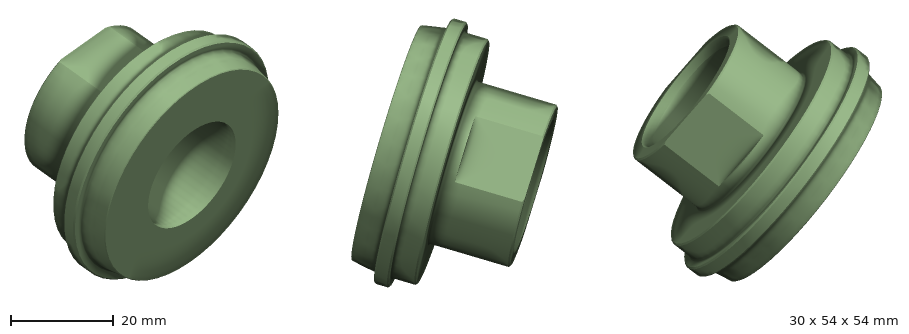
import cadquery as cq
import math

neck_start = 0.0
body_start = 16.5
flange_start = 21.5
flange_width = 3.0
flange_end = flange_start + flange_width
overall_length = 30.0

bore_diameter = 24.12
neck_diameter = 33.0
body_diameter = 50.0
flange_diameter = 54.0
taper_end_diameter = 47.9
taper_angle = 10.0

flat_spacing = 30.0
flat_length = 14.0

bore_chamfer = 1.5
edge_chamfer = 0.3
taper_end_chamfer = 0.15
root_round = 0.4

tolerance = 0.01

neck_radius = neck_diameter / 2
body_radius = body_diameter / 2
flange_radius = flange_diameter / 2
taper_end_radius = taper_end_diameter / 2
taper_drop = (overall_length - flange_end) * math.tan(math.radians(taper_angle))
taper_start_radius = taper_end_radius + taper_drop


def slab_selector(x, reach):
    """Select edges contained in a thin slab at station x, up to reach from the axis."""
    return cq.selectors.BoxSelector(
        (x - tolerance, -reach, -reach),
        (x + tolerance, reach, reach),
        boundingbox=True,
    )


def circle_edges_at(x, radius):
    """Select the circular edges of the given radius that lie at station x."""
    return slab_selector(x, radius + tolerance) - slab_selector(x, radius - tolerance)


def revolve_about_x(profile):
    """Turn a closed half profile through a full revolution about the X axis."""
    return profile.revolve(360, (0, 0, 0), (1, 0, 0))


def make_stepped_body():
    """Neck, body, flange and tapered end as one solid of revolution."""
    profile = (
        cq.Workplane("XY")
        .moveTo(neck_start, 0)
        .lineTo(neck_start, neck_radius)
        .lineTo(body_start, neck_radius)
        .lineTo(body_start, body_radius)
        .lineTo(flange_start, body_radius)
        .lineTo(flange_start, flange_radius)
        .lineTo(flange_end, flange_radius)
        .lineTo(flange_end, taper_start_radius)
        .lineTo(overall_length, taper_end_radius)
        .lineTo(overall_length, 0)
        .close()
    )
    return revolve_about_x(profile)


def break_outer_edges(part):
    """Chamfer the outer edges of the neck, body, flange and tapered end."""
    edges = [
        (neck_start, neck_radius, edge_chamfer),
        (body_start, body_radius, edge_chamfer),
        (flange_start, flange_radius, edge_chamfer),
        (flange_end, flange_radius, edge_chamfer),
        (overall_length, taper_end_radius, taper_end_chamfer),
    ]
    for x, radius, size in edges:
        part = part.edges(circle_edges_at(x, radius)).chamfer(size)
    return part


def round_step_roots(part):
    """Fillet the inner corners where one step meets the next."""
    roots = [
        (body_start, neck_radius),
        (flange_start, body_radius),
        (flange_end, taper_start_radius),
    ]
    for x, radius in roots:
        part = part.edges(circle_edges_at(x, radius)).fillet(root_round)
    return part


def cut_bore(part):
    """Through bore, chamfered at the neck end."""
    bore_radius = bore_diameter / 2
    profile = (
        cq.Workplane("XY")
        .moveTo(neck_start, 0)
        .lineTo(neck_start, bore_radius + bore_chamfer)
        .lineTo(neck_start + bore_chamfer, bore_radius)
        .lineTo(overall_length, bore_radius)
        .lineTo(overall_length, 0)
        .close()
    )
    return part.cut(revolve_about_x(profile))


def cut_wrench_flats(part):
    """Two parallel flats, above and below the neck axis."""
    depth = (neck_diameter - flat_spacing) / 2
    for side in (1, -1):
        tool = cq.Workplane("XY").box(
            flat_length, neck_diameter, depth, centered=(False, True, True)
        )
        part = part.cut(tool.translate((0, 0, side * (flat_spacing + depth) / 2)))
    return part


result = make_stepped_body()
result = break_outer_edges(result)
result = round_step_roots(result)
result = cut_bore(result)
result = cut_wrench_flats(result)